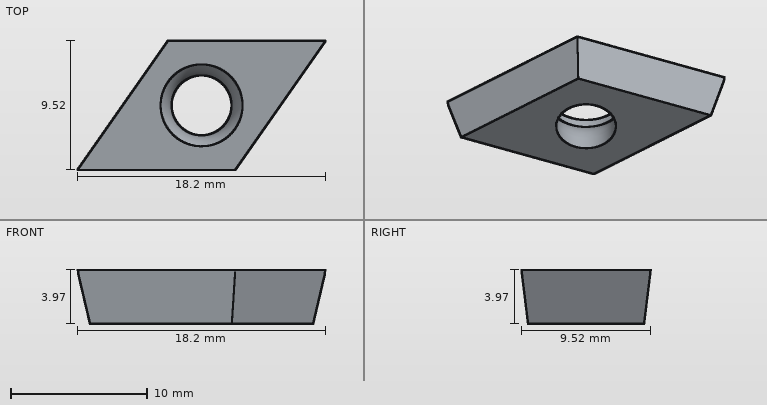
import cadquery as cq
import math

inscribed_diameter = 9.52
thickness = 3.97
corner_angle = 55.0
relief_angle = 7.0
nose_radius = 0.045

bore_diameter = 4.39
mouth_diameter = 6.03
mouth_depth = 0.76
seat_radius = 3.0


def rhombus_corners(width):
    """Corners of a centred rhombus with two sides parallel to X."""
    side = width / math.sin(math.radians(corner_angle))
    slant = width / math.tan(math.radians(corner_angle))
    half_long = (side + slant) / 2
    half_short = (side - slant) / 2
    half_width = width / 2
    return [
        (-half_long, -half_width),
        (half_short, -half_width),
        (half_long, half_width),
        (-half_short, half_width),
    ]


def make_body():
    """Rounded rhombus tapered downward; the nose radii shrink to sharp corners just below the top."""
    blank = (
        cq.Workplane("XY")
        .polyline(rhombus_corners(inscribed_diameter))
        .close()
        .extrude(thickness)
        .edges("|Z")
        .fillet(nose_radius)
    )
    top_outline = blank.faces(">Z").wires()
    return top_outline.toPending().extrude(-thickness, combine=False, taper=relief_angle)


def make_hole():
    """Revolved cutter: bore, curved seat and straight mouth."""
    bore_radius = bore_diameter / 2
    mouth_radius = mouth_diameter / 2
    seat_width = mouth_radius - bore_radius
    seat_height = math.sqrt(seat_radius**2 - (seat_radius - seat_width) ** 2)
    seat_top = thickness - mouth_depth
    return (
        cq.Workplane("XZ")
        .lineTo(bore_radius, 0)
        .lineTo(bore_radius, seat_top - seat_height)
        .tangentArcPoint((mouth_radius, seat_top), relative=False)
        .lineTo(mouth_radius, thickness)
        .lineTo(0, thickness)
        .close()
        .revolve(360, (0, 0, 0), (0, 1, 0))
    )


result = make_body().cut(make_hole()).solids()